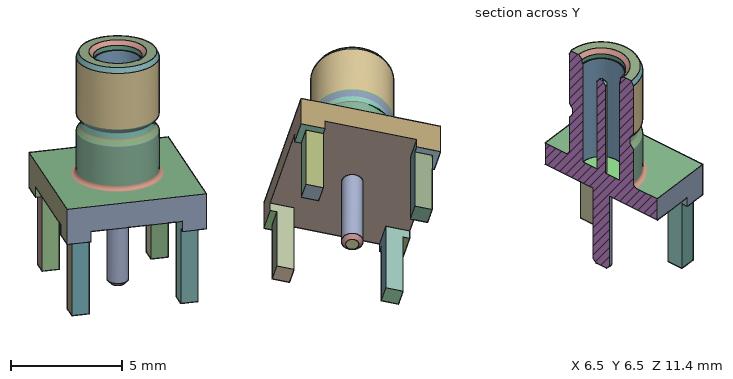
import cadquery as cq

total_height = 11.4
plate_top = 5.42
recess_top = 4.18
foot_bottom = 3.68

plate_side = 6.5
recess_side = 4.26
leg_inset = 0.31
leg_side = (plate_side - recess_side) / 2 - leg_inset

barrel_radius = 1.87
rim_chamfer_width = 0.11
rim_chamfer_height = 0.24
root_fillet = 0.19
groove_radius = 1.68
groove_upper_edge = 8.36
groove_floor_top = 8.12
groove_floor_bottom = 7.8
groove_lower_edge = 7.55
groove_large_round = 0.1
groove_small_round = 0.05

mouth_radius = 1.3
lip_radius = 1.1
lip_top = total_height - 0.18
lip_bottom = total_height - 0.41
bore_radius = 1.05
bore_floor = plate_top

contact_radius = 0.26
contact_tip_radius = 0.09
contact_tip = total_height - 0.8
contact_point_height = 0.23

pin_radius = 0.49
pin_chamfer = 0.19


def square_block(side, bottom, top):
    """Square block centered on the axis, between two heights."""
    return cq.Workplane("XY").workplane(offset=bottom).rect(side, side).extrude(top - bottom)


def revolved(profile):
    """Turn a closed (radius, height) profile around the vertical axis."""
    return cq.Workplane("XZ").polyline(profile).close().revolve(360, (0, 0, 0), (0, 1, 0))


def make_base():
    """Plate with four corner feet left by a crossed recess, and a leg on each foot."""
    base = square_block(plate_side, foot_bottom, plate_top)
    recess_height = recess_top - foot_bottom
    for length, width in ((plate_side, recess_side), (recess_side, plate_side)):
        recess = cq.Workplane("XY").workplane(offset=foot_bottom).rect(length, width).extrude(recess_height)
        base = base.cut(recess)
    leg_pitch = recess_side + leg_side
    legs = (
        cq.Workplane("XY")
        .rarray(leg_pitch, leg_pitch, 2, 2)
        .rect(leg_side, leg_side)
        .extrude(foot_bottom)
    )
    return base.union(legs)


def make_barrel():
    """Barrel with a rounded groove, a chamfered rim and a concave fillet at its root."""
    barrel = (
        cq.Workplane("XZ")
        .moveTo(0, plate_top)
        .lineTo(barrel_radius + root_fillet, plate_top)
        .radiusArc((barrel_radius, plate_top + root_fillet), root_fillet)
        .lineTo(barrel_radius, groove_lower_edge)
        .lineTo(groove_radius, groove_floor_bottom)
        .lineTo(groove_radius, groove_floor_top)
        .lineTo(barrel_radius, groove_upper_edge)
        .lineTo(barrel_radius, total_height - rim_chamfer_height)
        .lineTo(barrel_radius - rim_chamfer_width, total_height)
        .lineTo(0, total_height)
        .close()
        .revolve(360, (0, 0, 0), (0, 1, 0))
    )
    groove_rounds = (
        (groove_upper_edge, groove_large_round),
        (groove_floor_top, groove_small_round),
        (groove_floor_bottom, groove_large_round),
        (groove_lower_edge, groove_small_round),
    )
    for height, radius in groove_rounds:
        barrel = barrel.edges(cq.NearestToPointSelector((0, 0, height))).fillet(radius)
    return barrel


def make_socket():
    """Space inside the barrel: tapered mouth, lip and bore."""
    return revolved([
        (0, bore_floor),
        (bore_radius, bore_floor),
        (bore_radius, lip_bottom),
        (lip_radius, lip_bottom),
        (lip_radius, lip_top),
        (mouth_radius, total_height),
        (0, total_height),
    ])


def make_contact():
    """Pointed pin standing on the socket floor."""
    return revolved([
        (0, bore_floor),
        (contact_radius, bore_floor),
        (contact_radius, contact_tip - contact_point_height),
        (contact_tip_radius, contact_tip),
        (0, contact_tip),
    ])


def make_pin():
    """Solder pin with a chamfered tip."""
    return cq.Workplane("XY").circle(pin_radius).extrude(recess_top).faces("<Z").chamfer(pin_chamfer)


result = make_base().union(make_barrel()).cut(make_socket()).union(make_contact()).union(make_pin())